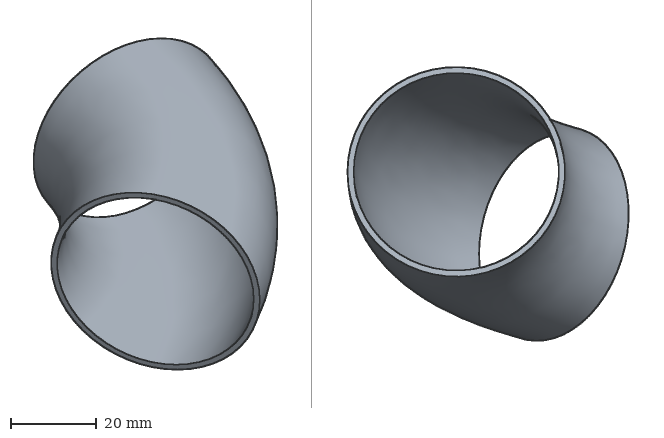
import cadquery as cq
import math

outer_diameter = 50.8
inner_diameter = 47.8
bend_angle = 45.0
overall_length = 71.9

outermost_radius = overall_length / math.sin(math.radians(bend_angle))
bend_radius = outermost_radius - outer_diameter / 2

result = (
    cq.Workplane("XZ")
    .circle(outer_diameter / 2)
    .circle(inner_diameter / 2)
    .revolve(bend_angle, (-bend_radius, 0), (-bend_radius, 1))
)